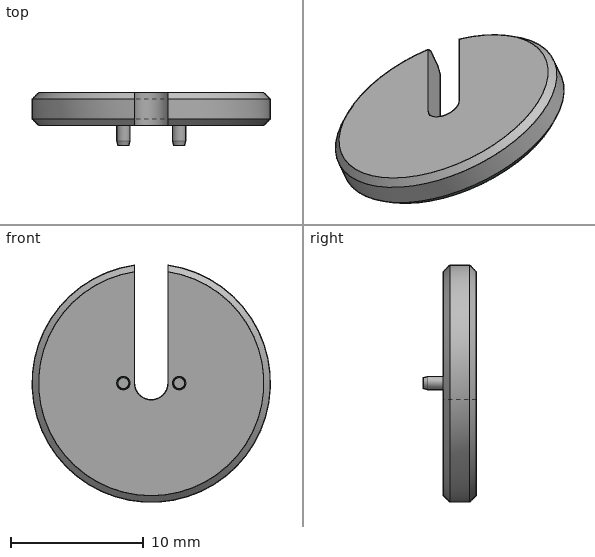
import cadquery as cq

disc_diameter = 17.97
disc_thickness = 2.5
rim_chamfer = 0.5

slot_width = 2.5

pin_diameter = 1.0
pin_length = 1.51
pin_spacing = 4.2
tip_length = 0.35
tip_inset = 0.09


def make_disc():
    disc = cq.Workplane("XZ").circle(disc_diameter / 2).extrude(-disc_thickness)
    return disc.edges().chamfer(rim_chamfer)


def make_slot():
    """Cutter with a round bottom centred on the disc axis."""
    slot_radius = slot_width / 2
    slot_top = disc_diameter / 2 + slot_width
    return (
        cq.Workplane("XZ")
        .moveTo(-slot_radius, slot_top)
        .lineTo(-slot_radius, 0)
        .threePointArc((0, -slot_radius), (slot_radius, 0))
        .lineTo(slot_radius, slot_top)
        .close()
        .extrude(-disc_thickness)
    )


def make_pin(x):
    """Round pin with a tapered tip, rooted at the middle of the disc thickness."""
    root_depth = disc_thickness / 2
    return (
        cq.Workplane("XZ", origin=(x, root_depth, 0))
        .circle(pin_diameter / 2)
        .extrude(root_depth + pin_length)
        .faces("<Y")
        .chamfer(tip_length, tip_inset)
    )


result = make_disc().cut(make_slot())
for side in (-1, 1):
    result = result.union(make_pin(side * pin_spacing / 2))